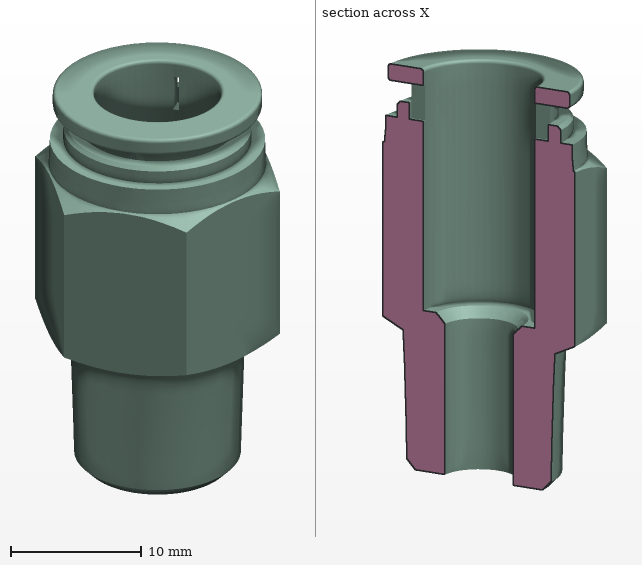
import cadquery as cq
import math

total_height = 32.2

thread_top_z = 11.05
thread_top_radius = 6.73
thread_bottom_radius = 6.4
thread_chamfer_height = 0.8
thread_chamfer_width = 0.77

across_flats = 17.0
corner_radius = across_flats / 2 / math.cos(math.radians(30))
hex_lower_corner_z = 12.53
hex_upper_corner_z = 24.95
hex_top_z = 25.92

collar_bottom_radius = 8.37
collar_top_radius = 8.28
collar_top_z = 28.0
ring_radius = 7.25
ring_top_z = 29.35
ring_chamfer = 0.3

neck_radius = 6.12
flange_radius = 8.05
flange_thickness = 1.35
flange_bottom_z = total_height - flange_thickness
flange_rounding = 0.3
slot_width = 0.48
slot_bottom_z = collar_top_z

tube_bore_radius = 4.9
tube_stop_z = 12.88
bore_rounding = 0.3
through_bore_radius = 3.0
bore_cone_radius = 3.8
bore_cone_depth = bore_cone_radius - through_bore_radius


def turned(points):
    """Solid of revolution about Z from (radius, height) points."""
    return cq.Workplane("XZ").polyline(points).close().revolve(360, (0, 0), (0, 1))


def disc(radius, bottom_z, top_z):
    return cq.Workplane("XY").workplane(offset=bottom_z).circle(radius).extrude(top_z - bottom_z)


def make_thread_end():
    return turned([
        (0, 0),
        (thread_bottom_radius - thread_chamfer_width, 0),
        (thread_bottom_radius, thread_chamfer_height),
        (thread_top_radius, thread_top_z),
        (0, thread_top_z),
    ])


def make_hexagon():
    """Hexagonal prism with both ends trimmed to cones that meet its corners."""
    prism = (
        cq.Workplane("XY")
        .workplane(offset=thread_top_z)
        .polygon(6, 2 * corner_radius)
        .extrude(hex_top_z - thread_top_z)
    )
    envelope = turned([
        (0, thread_top_z),
        (thread_top_radius, thread_top_z),
        (corner_radius, hex_lower_corner_z),
        (corner_radius, hex_upper_corner_z),
        (collar_bottom_radius, hex_top_z),
        (0, hex_top_z),
    ])
    return prism.intersect(envelope)


def make_collar_and_ring():
    collar = turned([
        (0, hex_top_z),
        (collar_bottom_radius, hex_top_z),
        (collar_top_radius, collar_top_z),
        (0, collar_top_z),
    ])
    ring = disc(ring_radius, collar_top_z, ring_top_z).faces(">Z").chamfer(ring_chamfer)
    return collar.union(ring)


def make_release_sleeve():
    neck = disc(neck_radius, ring_top_z, flange_bottom_z)
    flange = disc(flange_radius, flange_bottom_z, total_height).edges().fillet(flange_rounding)
    return neck.union(flange)


def make_bore():
    """Tube socket with a rounded mouth, stepping down through a cone to the through hole."""
    mouth_radius = tube_bore_radius + bore_rounding
    mouth_z = total_height - bore_rounding
    arc_inset = bore_rounding * (1 - math.sqrt(0.5))
    return (
        cq.Workplane("XZ")
        .moveTo(0, 0)
        .lineTo(through_bore_radius, 0)
        .lineTo(through_bore_radius, tube_stop_z - bore_cone_depth)
        .lineTo(bore_cone_radius, tube_stop_z)
        .lineTo(tube_bore_radius, tube_stop_z)
        .lineTo(tube_bore_radius, mouth_z)
        .threePointArc(
            (tube_bore_radius + arc_inset, total_height - arc_inset),
            (mouth_radius, total_height),
        )
        .lineTo(0, total_height)
        .close()
        .revolve(360, (0, 0), (0, 1))
    )


def make_neck_slots():
    """One slot across the sleeve along Y, reaching no further out than the neck."""
    blade = (
        cq.Workplane("XY")
        .workplane(offset=slot_bottom_z)
        .rect(slot_width, 2 * flange_radius)
        .extrude(flange_bottom_z - slot_bottom_z)
    )
    return blade.intersect(disc(neck_radius, slot_bottom_z, flange_bottom_z))


result = (
    make_thread_end()
    .union(make_hexagon())
    .union(make_collar_and_ring())
    .union(make_release_sleeve())
    .cut(make_bore())
    .cut(make_neck_slots())
)